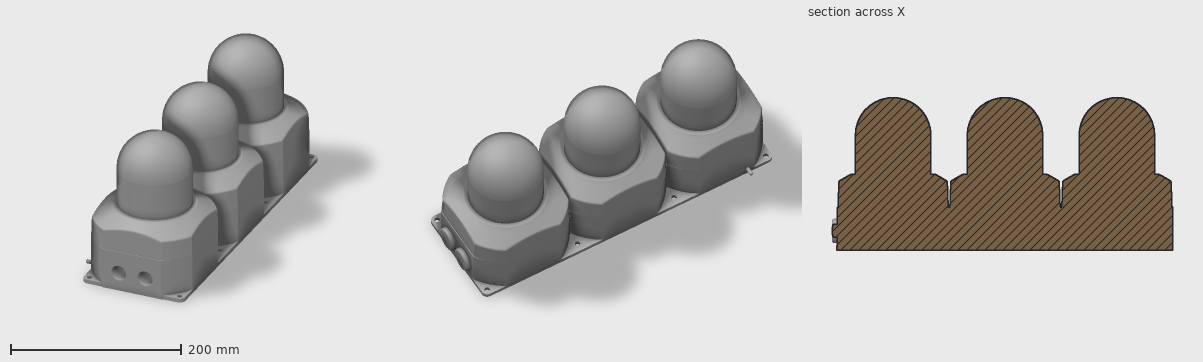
import cadquery as cq
import math

module_count = 3
module_pitch = 131.4
row_half_span = module_pitch * (module_count - 1) / 2
module_positions = [i * module_pitch - row_half_span for i in range(module_count)]

housing_width = 130.0
housing_half = housing_width / 2
corner_radius = 75.0
flat_half = math.sqrt(corner_radius**2 - housing_half**2)
base_half_length = module_pitch / 2
row_end = row_half_span + base_half_length
base_height = 51.0
cover_draft = 2.0
cover_top = 89.6
cone_start_radius = 50.0
cone_angle = math.radians(30)
roof_reach = corner_radius + 10.0
eaves_fillet = 3.0
rim_fillet = 3.5

overall_height = 180.0
dome_radius = 45.0
dome_spring_height = overall_height - dome_radius

plate_thickness = 5.0
plate_recess = 1.0
plate_overhang = 0.5
plate_front = -row_end + plate_recess
plate_back = row_end + plate_overhang
plate_length = plate_back - plate_front
plate_middle = (plate_front + plate_back) / 2
plate_corner_radius = 7.0
screw_diameter = 6.5
corner_screw_inset = 7.0
side_screw_x = 55.0

entry_x = 17.0
entry_height = 23.0
entry_hole_diameter = 19.0
entry_hole_depth = 20.0
drill_tip_angle = math.radians(118)
overall_length = 400.1
plug_end = -row_end + overall_length
plug_diameter = 29.0
plug_fillet = 2.5

pin_length = 10.0
pin_diameter = 4.8
pin_chamfer = 0.8
pin_height = 8.5
pin_offset = 28.5
pin_y = -row_half_span - pin_offset


def housing_outline(plane, half_length):
    """Flat-sided outline of the housing width, with round corners bulging to the corner circle."""
    bulge = corner_radius * math.sqrt(0.5)
    return (
        plane.moveTo(flat_half, -half_length)
        .threePointArc((bulge, -bulge), (housing_half, -flat_half))
        .lineTo(housing_half, flat_half)
        .threePointArc((bulge, bulge), (flat_half, half_length))
        .lineTo(-flat_half, half_length)
        .threePointArc((-bulge, bulge), (-housing_half, flat_half))
        .lineTo(-housing_half, -flat_half)
        .threePointArc((-bulge, -bulge), (-flat_half, -half_length))
        .close()
    )


def is_eaves_edge(edge):
    """True for the edges where the roof meets the walls: clear of both the joint and the rim."""
    box = edge.BoundingBox()
    return box.zmin > base_height + eaves_fillet and box.zmax < cover_top - eaves_fillet


def make_cover():
    """Drafted upper housing under a shallow conical roof, with rounded roof edges."""
    joint_plane = cq.Workplane("XY").workplane(offset=base_height)
    outline = housing_outline(joint_plane, housing_half)
    walls = outline.extrude(cover_top - base_height, taper=cover_draft)
    eave_height = cover_top - (roof_reach - cone_start_radius) * math.tan(cone_angle)
    roof = (
        cq.Workplane("XZ")
        .moveTo(0, base_height)
        .lineTo(roof_reach, base_height)
        .lineTo(roof_reach, eave_height)
        .lineTo(cone_start_radius, cover_top)
        .lineTo(0, cover_top)
        .close()
        .revolve(360, (0, 0, 0), (0, 1, 0))
    )
    cover = walls.intersect(roof)
    cover = cover.faces(">Z").edges().fillet(rim_fillet)
    eaves_edges = [edge for edge in cover.edges().vals() if is_eaves_edge(edge)]
    return cover.newObject(eaves_edges).fillet(eaves_fillet)


def make_module():
    """Base, cover and dome of one beacon, centred on the Z axis."""
    base = housing_outline(cq.Workplane("XY"), base_half_length).extrude(base_height)
    lens = (
        cq.Workplane("XY")
        .workplane(offset=base_height)
        .circle(dome_radius)
        .extrude(dome_spring_height - base_height)
    )
    dome = cq.Workplane("XY").sphere(dome_radius).translate((0, 0, dome_spring_height))
    return base.union(make_cover()).union(lens).union(dome)


def make_plate():
    """Mounting plate with a screw hole in each corner and between the modules."""
    corner_x = housing_half - corner_screw_inset
    screws = [
        (side * corner_x, end)
        for side in (-1, 1)
        for end in (plate_front + corner_screw_inset, plate_back - corner_screw_inset)
    ]
    for nearer, farther in zip(module_positions, module_positions[1:]):
        screws += [(side * side_screw_x, (nearer + farther) / 2) for side in (-1, 1)]
    plate = (
        cq.Workplane("XY")
        .center(0, plate_middle)
        .rect(housing_width, plate_length)
        .extrude(plate_thickness)
        .edges("|Z")
        .fillet(plate_corner_radius)
    )
    holes = cq.Workplane("XY").pushPoints(screws).circle(screw_diameter / 2).extrude(plate_thickness)
    return plate.cut(holes)


def make_entry_hole(x):
    """Blind drilled hole running +Y from the front face, with a conical tip."""
    radius = entry_hole_diameter / 2
    tip_length = radius / math.tan(drill_tip_angle / 2)
    return (
        cq.Workplane("XY")
        .lineTo(radius, 0)
        .lineTo(radius, entry_hole_depth)
        .lineTo(0, entry_hole_depth + tip_length)
        .close()
        .revolve(360, (0, 0, 0), (0, 1, 0))
        .translate((x, -row_end, entry_height))
    )


def make_plug(x):
    """Round blanking plug on the back face with a rounded outer edge."""
    back_plane = cq.Plane(origin=(x, row_end, entry_height), xDir=(1, 0, 0), normal=(0, 1, 0))
    plug = cq.Workplane(back_plane).circle(plug_diameter / 2).extrude(plug_end - row_end)
    return plug.faces(">Y").edges().fillet(plug_fillet)


def make_pin():
    """Earthing pin standing out of the -X side of the front module."""
    side_plane = cq.Plane(origin=(-housing_half, pin_y, pin_height), xDir=(0, 1, 0), normal=(-1, 0, 0))
    pin = cq.Workplane(side_plane).circle(pin_diameter / 2).extrude(pin_length)
    return pin.faces("<X").edges().chamfer(pin_chamfer)


result = make_plate()
module = make_module()
for y in module_positions:
    result = result.union(module.translate((0, y, 0)))
for x in (-entry_x, entry_x):
    result = result.union(make_plug(x)).cut(make_entry_hole(x))
result = result.union(make_pin())